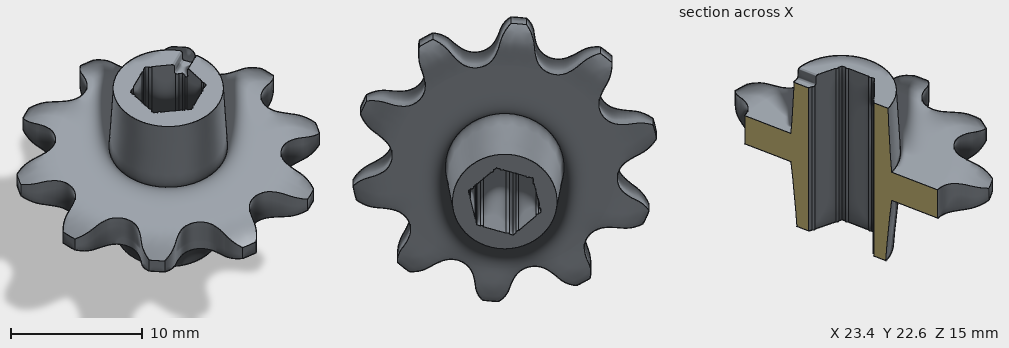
import cadquery as cq
import math

pitch = 6.35
roller_diameter = 3.302
tooth_count = 10
seat_clearance = 0.0762
topping_allowance = 0.0381

plate_thickness = 2.8
tip_width = 1.16
crown_start_radius = 8.53

total_height = 15.0
hub_base_radius = 4.5
upper_taper = 3.0
lower_taper = 5.0

bore_across_flats = 5.0
bore_sides = 6
rib_start = 0.29
rib_width = 0.26
rib_height = 0.06

slot_width = 1.08
slot_depth = 1.0
slot_fillet = 0.2

tooth_angle = 360 / tooth_count
half_tooth = math.radians(tooth_angle / 2)
pitch_radius = pitch / (2 * math.sin(half_tooth))
outside_radius = pitch * (0.6 + 1 / math.tan(half_tooth)) / 2
seat_radius = (1.005 * roller_diameter + seat_clearance) / 2
root_radius = pitch_radius - seat_radius
half_height = total_height / 2
half_plate = plate_thickness / 2


def polar(center, radius, degrees):
    """Point at a given distance and direction from a center."""
    angle = math.radians(degrees)
    return (center[0] + radius * math.cos(angle), center[1] + radius * math.sin(angle))


def mirrored(point):
    """The same point on the other side of the X axis."""
    return (point[0], -point[1])


def tooth_gap():
    """Cutter for the gap between two teeth, opening along +X, with the standard sprocket tooth form.

    From the middle of the roller seat each side runs through the seat arc, a hollow working
    curve, a short straight and a rounded topping curve that passes beyond the tooth tip.
    """
    seat_angle = 35 + 60 / tooth_count
    working_span = 18 - 56 / tooth_count
    working_offset = 0.8 * roller_diameter
    topping_offset = 1.4 * roller_diameter
    working_radius = working_offset + seat_radius
    topping_radius = (
        working_offset * math.cos(math.radians(working_span))
        + topping_offset * math.cos(math.radians(17 - 64 / tooth_count))
        - 1.3025 * roller_diameter
        - topping_allowance
    )
    topping_span = 45
    mouth_clearance = 2.0

    seat_center = (pitch_radius, 0)
    seat_end = 90 + seat_angle
    working_end = seat_end - working_span
    working_center = polar(seat_center, working_offset, seat_end - 180)
    topping_center = polar(seat_center, topping_offset, 90 + tooth_angle / 2)
    topping_start = working_end - 180

    root = (root_radius, 0)
    seat_middle = polar(seat_center, seat_radius, (180 + seat_end) / 2)
    seat_tip = polar(seat_center, seat_radius, seat_end)
    working_middle = polar(working_center, working_radius, seat_end - working_span / 2)
    working_tip = polar(working_center, working_radius, working_end)
    topping_base = polar(topping_center, topping_radius, topping_start)
    topping_middle = polar(topping_center, topping_radius, topping_start + topping_span / 2)
    topping_tip = polar(topping_center, topping_radius, topping_start + topping_span)
    mouth = (outside_radius + mouth_clearance, topping_tip[1])

    return (
        cq.Workplane("XY", origin=(0, 0, -half_plate))
        .moveTo(*root)
        .threePointArc(seat_middle, seat_tip)
        .threePointArc(working_middle, working_tip)
        .lineTo(*topping_base)
        .threePointArc(topping_middle, topping_tip)
        .lineTo(*mouth)
        .lineTo(*mirrored(mouth))
        .lineTo(*mirrored(topping_tip))
        .threePointArc(mirrored(topping_middle), mirrored(topping_base))
        .lineTo(*mirrored(working_tip))
        .threePointArc(mirrored(working_middle), mirrored(seat_tip))
        .threePointArc(mirrored(seat_middle), root)
        .close()
        .extrude(plate_thickness)
    )


def sprocket_plate():
    """Round plate whose rim narrows along tangent arcs, with the tooth gaps cut through it."""
    half_tip = tip_width / 2
    crown_drop = half_plate - half_tip
    crown_run = outside_radius - crown_start_radius
    crown_radius = (crown_run**2 + crown_drop**2) / (2 * crown_drop)
    crown_center = (crown_start_radius, half_plate - crown_radius)
    crown_sweep = math.degrees(math.asin(crown_run / crown_radius))
    crown_middle = polar(crown_center, crown_radius, 90 - crown_sweep / 2)

    plate = (
        cq.Workplane("XZ")
        .moveTo(0, -half_plate)
        .lineTo(crown_start_radius, -half_plate)
        .threePointArc(mirrored(crown_middle), (outside_radius, -half_tip))
        .lineTo(outside_radius, half_tip)
        .threePointArc(crown_middle, (crown_start_radius, half_plate))
        .lineTo(0, half_plate)
        .close()
        .revolve(360, (0, 0, 0), (0, 1, 0))
    )
    gap = tooth_gap()
    for index in range(tooth_count):
        plate = plate.cut(gap.rotate((0, 0, 0), (0, 0, 1), (index + 0.5) * tooth_angle))
    return plate


def hub():
    """Hub on both sides of the plate, tapering towards each end."""
    taper_length = half_height - half_plate
    top_radius = hub_base_radius - taper_length * math.tan(math.radians(upper_taper))
    bottom_radius = hub_base_radius - taper_length * math.tan(math.radians(lower_taper))
    return (
        cq.Workplane("XZ")
        .polyline([
            (0, -half_height),
            (bottom_radius, -half_height),
            (hub_base_radius, -half_plate),
            (hub_base_radius, half_plate),
            (top_radius, half_height),
            (0, half_height),
        ])
        .close()
        .revolve(360, (0, 0, 0), (0, 1, 0))
    )


def hex_bore():
    """Cutter for the hexagonal bore, corners on the Y axis, with the crush ribs left standing."""
    flat_distance = bore_across_flats / 2
    half_side = flat_distance * math.tan(math.pi / bore_sides)
    rib_near = half_side - rib_start
    rib_middle = rib_near - rib_width / 2
    rib_far = rib_near - rib_width
    side_angle = 360 / bore_sides

    def on_side(index, along, inward=0.0):
        """Point on one side of the hexagon, given its place along that side."""
        distance = flat_distance - inward
        turn = index * side_angle + math.degrees(math.atan2(along, distance))
        return polar((0, 0), math.hypot(along, distance), turn)

    outline = cq.Workplane("XY", origin=(0, 0, -half_height)).moveTo(*on_side(0, -half_side))
    for index in range(bore_sides):
        outline = (
            outline
            .lineTo(*on_side(index, -rib_near))
            .threePointArc(on_side(index, -rib_middle, rib_height), on_side(index, -rib_far))
            .lineTo(*on_side(index, rib_far))
            .threePointArc(on_side(index, rib_middle, rib_height), on_side(index, rib_near))
        )
        if index < bore_sides - 1:
            outline = outline.lineTo(*on_side(index, half_side))
    return outline.close().extrude(total_height)


def hub_slot():
    """Cutter for the slot from the bore out through the +Y side of the hub, rounded at floor and mouth."""
    wall = slot_width / 2
    floor = half_height - slot_depth
    floor_edge = wall - slot_fillet
    mouth_edge = wall + slot_fillet
    floor_middle = polar((floor_edge, floor + slot_fillet), slot_fillet, -45)
    mouth_middle = polar((mouth_edge, half_height - slot_fillet), slot_fillet, 135)

    def opposite(point):
        return (-point[0], point[1])

    return (
        cq.Workplane("XZ")
        .moveTo(-floor_edge, floor)
        .lineTo(floor_edge, floor)
        .threePointArc(floor_middle, (wall, floor + slot_fillet))
        .lineTo(wall, half_height - slot_fillet)
        .threePointArc(mouth_middle, (mouth_edge, half_height))
        .lineTo(-mouth_edge, half_height)
        .threePointArc(opposite(mouth_middle), (-wall, half_height - slot_fillet))
        .lineTo(-wall, floor + slot_fillet)
        .threePointArc(opposite(floor_middle), (-floor_edge, floor))
        .close()
        .extrude(-hub_base_radius)
    )


result = sprocket_plate().union(hub()).cut(hex_bore()).cut(hub_slot())